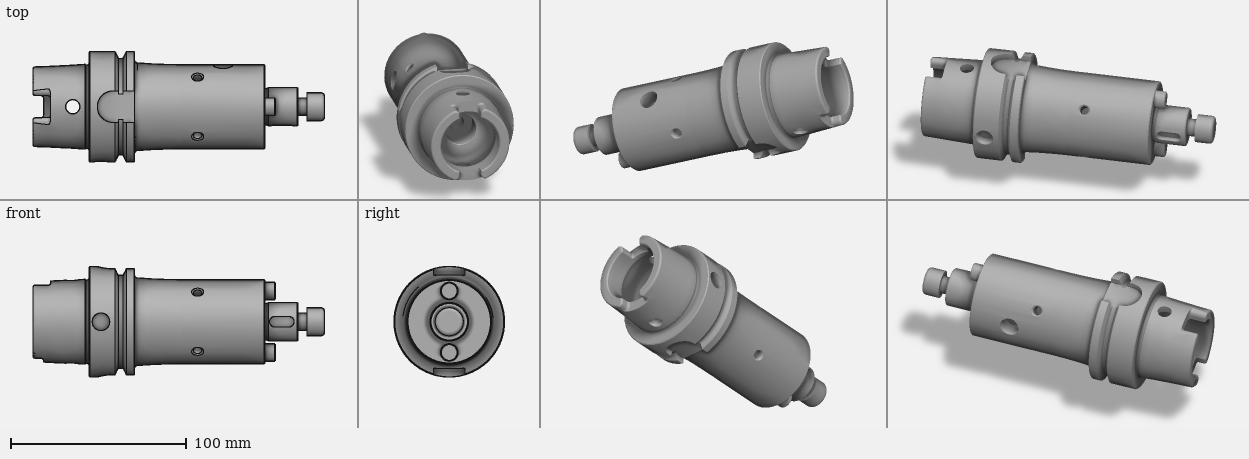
import cadquery as cq
import math


shank_length = 31.9
taper_gauge_radius = 24.0
taper_gauge_x = -6.3
taper_slope = 1 / 20
shank_tip_x = -shank_length
shank_tip_fillet = 1.2
neck_start_x = -2.3
neck_radius = 23.8
neck_bevel = 0.5
neck_fillet = 1.2

bore_radius = 17.0
bore_mouth_chamfer = 0.7
bore_cylinder_depth = 12.7
clamping_radius = 19.5
bore_depth = 29.0
bore_bottom_fillet = 3.75
coolant_tube_radius = 9.0
coolant_tube_depth = 12.0
coolant_tube_chamfer = 0.3
coolant_radius = 4.4
coolant_depth = 20.0
cross_hole_radius = 4.0
cross_hole_x = -9.25

upper_notch_depth = 10.0
lower_notch_depth = 6.0
notch_half_width = 6.27
notch_corner_z = 18.3
notch_corner_radius = 2.5
notch_floor_fillet = 1.5

flange_radius = 31.5
flange_length = 26.0
flange_front_chamfer = 0.5
flange_rear_chamfer = 0.5
groove_radius = 27.5
groove_wall_radius = 28.3
groove_centre_x = 18.0
groove_mouth_half_width = 3.25
groove_wall_half_width = 1.65
groove_floor_half_width = 1.2
keyway_half_width = 9.0
keyway_floor_z = 26.5
keyway_start_x = 4.7
coding_hole_radius = 5.0
coding_hole_x = 6.8
coding_hole_floor_y = -25.5

body_radius = 24.0
body_root_radius = 25.0
flare_end_x = 52.6
root_fillet = 1.5
body_end_x = 100.0
body_end_chamfer = 0.5
balance_hole_x = 61.8
balance_hole_radius = 2.5
balance_hole_countersink = 0.8
balance_hole_depth = 10.0
side_hole_x = 76.2
side_hole_radius = 5.5
side_hole_depth = 10.0
side_hole_tilt = 12.0

spigot_radius = 11.0
spigot_length = 19.0
spigot_end_chamfer = 0.6
undercut_radius = 10.5
undercut_length = 1.2
undercut_taper_length = 1.0
key_slot_width = 6.0
key_slot_length = 14.0
key_slot_centre_x = 109.7
key_slot_depth = 3.5
spigot_end_x = body_end_x + spigot_length

pin_radius = 5.0
pin_offset = 17.5
pin_projection = 6.0
pin_hole_depth = 10.0
pin_chamfer = 0.5

screw_radius = 5.0
screw_length = 25.0
screw_head_radius = 8.0
screw_head_length = 10.0
screw_head_fillet = 2.0
screw_end_x = 134.0
screw_head_x = screw_end_x - screw_head_length
screw_tip_x = screw_head_x - screw_length


def rod(start_x, end_x, radius, z=0.0):
    """Cylinder parallel to X."""
    return cq.Workplane("YZ", origin=(start_x, 0, z)).circle(radius).extrude(end_x - start_x)


def taper_radius(x):
    return taper_gauge_radius + taper_slope * (x - taper_gauge_x)


def turned_about_x(shape, angle):
    return shape.rotate((0, 0, 0), (1, 0, 0), angle)


def turned_outside():
    """Outer shape of the holder, revolved about X."""
    flare_start_x = flange_length + root_fillet
    flare_rise = body_root_radius - body_radius
    flare_run = flare_end_x - flare_start_x
    flare_radius = (flare_run**2 + flare_rise**2) / (2 * flare_rise)
    half_angle = math.asin(flare_run / flare_radius) / 2
    flare_mid = (
        flare_end_x - flare_radius * math.sin(half_angle),
        body_radius + flare_radius * (1 - math.cos(half_angle)),
    )
    diagonal = math.sqrt(0.5)
    root_mid = (
        flare_start_x - root_fillet * diagonal,
        body_root_radius + root_fillet * (1 - diagonal),
    )
    neck_mid = (
        -neck_fillet * (1 - diagonal),
        neck_radius + neck_fillet * (1 - diagonal),
    )
    undercut_end_x = body_end_x + undercut_length
    outline = (
        cq.Workplane("XZ")
        .moveTo(shank_tip_x, 0)
        .lineTo(shank_tip_x, taper_radius(shank_tip_x))
        .lineTo(neck_start_x, taper_radius(neck_start_x))
        .lineTo(neck_start_x + neck_bevel, neck_radius)
        .lineTo(-neck_fillet, neck_radius)
        .threePointArc(neck_mid, (0, neck_radius + neck_fillet))
        .lineTo(0, flange_radius - flange_front_chamfer)
        .lineTo(flange_front_chamfer, flange_radius)
        .lineTo(groove_centre_x - groove_mouth_half_width, flange_radius)
        .lineTo(groove_centre_x - groove_wall_half_width, groove_wall_radius)
        .lineTo(groove_centre_x - groove_floor_half_width, groove_radius)
        .lineTo(groove_centre_x + groove_floor_half_width, groove_radius)
        .lineTo(groove_centre_x + groove_wall_half_width, groove_wall_radius)
        .lineTo(groove_centre_x + groove_mouth_half_width, flange_radius)
        .lineTo(flange_length - flange_rear_chamfer, flange_radius)
        .lineTo(flange_length, flange_radius - flange_rear_chamfer)
        .lineTo(flange_length, body_root_radius + root_fillet)
        .threePointArc(root_mid, (flare_start_x, body_root_radius))
        .threePointArc(flare_mid, (flare_end_x, body_radius))
        .lineTo(body_end_x - body_end_chamfer, body_radius)
        .lineTo(body_end_x, body_radius - body_end_chamfer)
        .lineTo(body_end_x, undercut_radius)
        .lineTo(undercut_end_x, undercut_radius)
        .lineTo(undercut_end_x + undercut_taper_length, spigot_radius)
        .lineTo(spigot_end_x - spigot_end_chamfer, spigot_radius)
        .lineTo(spigot_end_x, spigot_radius - spigot_end_chamfer)
        .lineTo(spigot_end_x, 0)
        .close()
    )
    return outline.revolve(360, (0, 0, 0), (1, 0, 0))


def shank_bore():
    """Hollow of the shank with its clamping chamber, coolant tube seat and coolant hole."""
    floor_x = shank_tip_x + bore_depth
    shoulder_x = shank_tip_x + bore_cylinder_depth
    hollow = (
        cq.Workplane("XZ")
        .moveTo(shank_tip_x, 0)
        .lineTo(shank_tip_x, bore_radius + bore_mouth_chamfer)
        .lineTo(shank_tip_x + bore_mouth_chamfer, bore_radius)
        .lineTo(shoulder_x, bore_radius)
        .lineTo(shoulder_x, clamping_radius)
        .lineTo(floor_x, clamping_radius)
        .lineTo(floor_x, 0)
        .close()
        .revolve(360, (0, 0, 0), (1, 0, 0))
        .faces(">X")
        .edges()
        .fillet(bore_bottom_fillet)
    )
    seat = rod(floor_x, floor_x + coolant_tube_depth, coolant_tube_radius)
    seat_mouth = (
        cq.Workplane("XZ")
        .moveTo(floor_x, 0)
        .lineTo(floor_x, coolant_tube_radius + coolant_tube_chamfer)
        .lineTo(floor_x + coolant_tube_chamfer, coolant_tube_radius)
        .lineTo(floor_x + coolant_tube_chamfer, 0)
        .close()
        .revolve(360, (0, 0, 0), (1, 0, 0))
    )
    coolant_hole = rod(floor_x, floor_x + coolant_depth, coolant_radius)
    return hollow.union(seat).union(seat_mouth).union(coolant_hole)


def drive_notch(depth):
    """Cutter for a notch on the +Z side: its sides flare outward and its floor is rounded."""
    shoulder_y = notch_half_width + notch_corner_radius
    shoulder_z = notch_corner_z + notch_corner_radius
    mid_y = shoulder_y - notch_corner_radius * math.sqrt(0.5)
    mid_z = notch_corner_z + notch_corner_radius * math.sqrt(0.5)
    profile = (
        cq.Workplane("YZ", origin=(shank_tip_x, 0, 0))
        .moveTo(-notch_half_width, 0)
        .lineTo(notch_half_width, 0)
        .lineTo(notch_half_width, notch_corner_z)
        .threePointArc((mid_y, mid_z), (shoulder_y, shoulder_z))
        .lineTo(flange_radius, shoulder_z)
        .lineTo(flange_radius, flange_radius)
        .lineTo(-flange_radius, flange_radius)
        .lineTo(-flange_radius, shoulder_z)
        .lineTo(-shoulder_y, shoulder_z)
        .threePointArc((-mid_y, mid_z), (-notch_half_width, notch_corner_z))
        .close()
    )
    return profile.extrude(depth).faces(">X").edges().fillet(notch_floor_fillet)


def keyway():
    """Round-ended keyway through the rear of the flange, on the +Z side."""
    centre_x = keyway_start_x + keyway_half_width
    height = flange_radius - keyway_floor_z
    floor = cq.Workplane("XY", origin=(0, 0, keyway_floor_z))
    round_end = floor.center(centre_x, 0).circle(keyway_half_width).extrude(height)
    run_length = flange_length - centre_x
    run_floor = cq.Workplane("XY", origin=(centre_x + run_length / 2, 0, keyway_floor_z))
    run = run_floor.rect(run_length, 2 * keyway_half_width).extrude(height)
    return round_end.union(run)


def balance_hole():
    """Countersunk blind hole on the +Z side, pointing at the axis."""
    floor_z = body_radius - balance_hole_depth
    rim_z = math.sqrt(body_radius**2 - balance_hole_radius**2)
    cone_height = balance_hole_countersink + body_radius - rim_z
    return (
        cq.Workplane("XZ", origin=(balance_hole_x, 0, 0))
        .moveTo(0, floor_z)
        .lineTo(balance_hole_radius, floor_z)
        .lineTo(balance_hole_radius, body_radius - cone_height)
        .lineTo(balance_hole_radius + cone_height, body_radius)
        .lineTo(0, body_radius)
        .close()
        .revolve(360, (0, 0, 0), (0, 1, 0))
    )


def side_hole():
    """Blind hole on the +Y side, its axis pointing at the body axis and raised above Y."""
    floor_y = body_radius - side_hole_depth
    hole = cq.Workplane("XZ", origin=(side_hole_x, floor_y, 0)).circle(side_hole_radius)
    return turned_about_x(hole.extrude(-side_hole_depth), side_hole_tilt)


def make_holder():
    holder = turned_outside()
    holder = holder.cut(drive_notch(upper_notch_depth))
    holder = holder.cut(turned_about_x(drive_notch(lower_notch_depth), 180))
    holder = holder.faces("<X").edges().fillet(shank_tip_fillet)
    holder = holder.cut(shank_bore())
    for turn in (0, 180):
        holder = holder.cut(turned_about_x(keyway(), turn))
    cross_hole = cq.Workplane("XY", origin=(cross_hole_x, 0, 0)).circle(cross_hole_radius)
    holder = holder.cut(cross_hole.extrude(flange_radius, both=True))
    coding_hole = cq.Workplane("XZ", origin=(coding_hole_x, coding_hole_floor_y, 0)).circle(coding_hole_radius)
    holder = holder.cut(coding_hole.extrude(flange_radius))
    for turn in (45, 135, 225, 315):
        holder = holder.cut(turned_about_x(balance_hole(), turn))
    holder = holder.cut(side_hole())
    key_slot = (
        cq.Workplane("XZ", origin=(key_slot_centre_x, key_slot_depth - spigot_radius, 0))
        .slot2D(key_slot_length, key_slot_width)
        .extrude(spigot_radius)
    )
    holder = holder.cut(key_slot)
    for side in (1, -1):
        holder = holder.cut(rod(body_end_x - pin_hole_depth, body_end_x, pin_radius, side * pin_offset))
    return holder.cut(rod(screw_tip_x, spigot_end_x, screw_radius))


def make_pin(z):
    pin = rod(body_end_x - pin_hole_depth, body_end_x + pin_projection, pin_radius, z)
    return pin.faces(">X").chamfer(pin_chamfer)


def make_screw():
    head = rod(screw_head_x, screw_end_x, screw_head_radius).faces(">X").edges().fillet(screw_head_fillet)
    return head.union(rod(screw_tip_x, screw_head_x, screw_radius))


holder = make_holder()
drive_pins = [make_pin(side * pin_offset) for side in (1, -1)]
screw = make_screw()
result = cq.Compound.makeCompound([holder.val(), screw.val(), *[pin.val() for pin in drive_pins]])